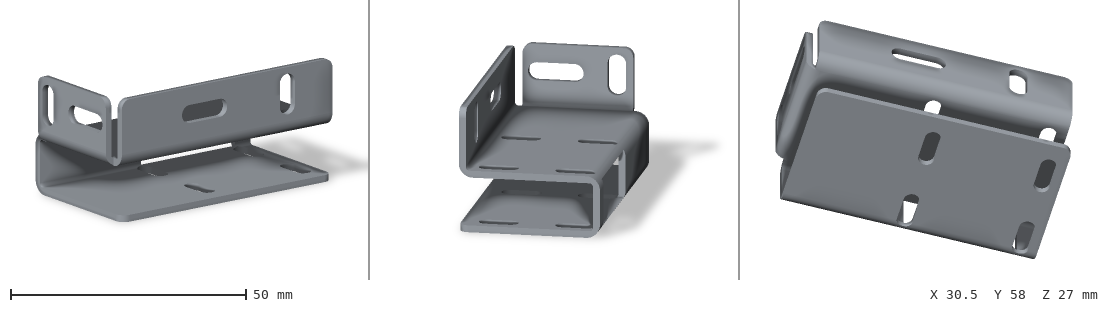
import cadquery as cq

sheet = 1.5
outer_bend = 3.0
inner_bend = 0.8

width = 30.5
total_length = 58.0
body_length = 55.95
height = 27.0
upper_plate_bottom = 12.0
upper_plate_top = upper_plate_bottom + sheet
corner_radius = 2.05

flange_left = 3.55
flange_width = 23.95
flange_right = flange_left + flange_width
flange_front = body_length - total_length
flange_root = flange_front + outer_bend

window_length = 25.0
window_back_margin = 4.05

plate_slot_length = 8.6
plate_slot_width = 3.5
plate_slot_xs = (6.05, 22.55)
back_slot_y = body_length - 3.8
upper_slot_spacing = 25.4
lower_slot_spacing = 25.5

side_slot_width = 4.0
short_slot_length = 9.0
long_slot_length = 12.0
side_slot_z = 21.05
upright_angle = 90
flange_short_slot_x = 7.1
flange_long_slot_x = 20.3
wall_short_slot_y = body_length - 12.0
wall_long_slot_y = body_length - 34.0


def block(x_min, x_max, y_min, y_max, z_min, z_max):
    """Box given by its limits along each axis."""
    size = (x_max - x_min, y_max - y_min, z_max - z_min)
    return cq.Workplane("XY").box(*size, centered=False).translate((x_min, y_min, z_min))


def slot(plane, center, length, slot_width, angle=0):
    """Slot cutter centred on a point, passing through one sheet on both sides of it."""
    profile = cq.Workplane(plane, origin=center).slot2D(length, slot_width, angle)
    return profile.extrude(2 * sheet, both=True)


def bent_angle(leg, upright, length):
    """L-section along +Y: a flat leg towards -X and an upright, outer corner at the origin."""
    profile = (
        cq.Workplane("XZ")
        .moveTo(-leg, 0)
        .lineTo(-outer_bend, 0)
        .radiusArc((0, outer_bend), -outer_bend)
        .lineTo(0, upright)
        .lineTo(-sheet, upright)
        .lineTo(-sheet, sheet + inner_bend)
        .radiusArc((-sheet - inner_bend, sheet), inner_bend)
        .lineTo(-leg, sheet)
        .close()
    )
    return profile.extrude(-length)


def channel():
    """C-shaped section: lower plate, left web and upper plate, which ends at the wall bend."""
    outside = block(0, width, 0, body_length, 0, upper_plate_top)
    outside = outside.edges("|Y and <X").fillet(outer_bend)
    inside = block(sheet, width, 0, body_length, sheet, upper_plate_bottom)
    inside = inside.edges("|Y and <X").fillet(inner_bend)
    beyond_plate = block(
        width - outer_bend, width, 0, body_length, upper_plate_bottom, upper_plate_top
    )
    free_corners = outside.cut(inside).edges("|Z and >X").edges("<Z")
    lower_rounded = free_corners.fillet(corner_radius)
    return lower_rounded.cut(beyond_plate)


def right_wall():
    """Upright wall with its bend, overlapping the upper plate."""
    wall = bent_angle(2 * outer_bend, height - upper_plate_bottom, body_length)
    wall = wall.edges("|X and >Z").fillet(corner_radius)
    return wall.translate((width, 0, upper_plate_bottom))


def front_flange():
    """Upright flange whose bend runs back into the upper plate."""
    flange = bent_angle(2 * outer_bend, height - upper_plate_bottom, flange_width)
    flange = flange.edges("|X and >Z").fillet(corner_radius)
    flange = flange.rotate((0, 0, 0), (0, 0, 1), -90)
    return flange.translate((flange_left, flange_front, upper_plate_bottom))


def web_window():
    """Opening through the left web, as tall as the gap between the plates."""
    back = body_length - window_back_margin
    return block(0, sheet + inner_bend, back - window_length, back, sheet, upper_plate_bottom)


bend_relief = block(
    flange_left, flange_right, 0, flange_root, upper_plate_bottom, upper_plate_top
)
body = channel().union(right_wall()).cut(bend_relief)
result = body.union(front_flange()).cut(web_window())

for plate_z, row_spacing in ((0, lower_slot_spacing), (upper_plate_bottom, upper_slot_spacing)):
    for slot_x in plate_slot_xs:
        for slot_y in (back_slot_y, back_slot_y - row_spacing):
            center = (slot_x, slot_y, plate_z + sheet / 2)
            result = result.cut(slot("XY", center, plate_slot_length, plate_slot_width))

flange_middle = flange_front + sheet / 2
short_center = (flange_short_slot_x, flange_middle, side_slot_z)
long_center = (flange_long_slot_x, flange_middle, side_slot_z)
result = result.cut(slot("XZ", short_center, short_slot_length, side_slot_width, upright_angle))
result = result.cut(slot("XZ", long_center, long_slot_length, side_slot_width))

wall_middle = width - sheet / 2
short_center = (wall_middle, wall_short_slot_y, side_slot_z)
long_center = (wall_middle, wall_long_slot_y, side_slot_z)
result = result.cut(slot("YZ", short_center, short_slot_length, side_slot_width, upright_angle))
result = result.cut(slot("YZ", long_center, long_slot_length, side_slot_width))